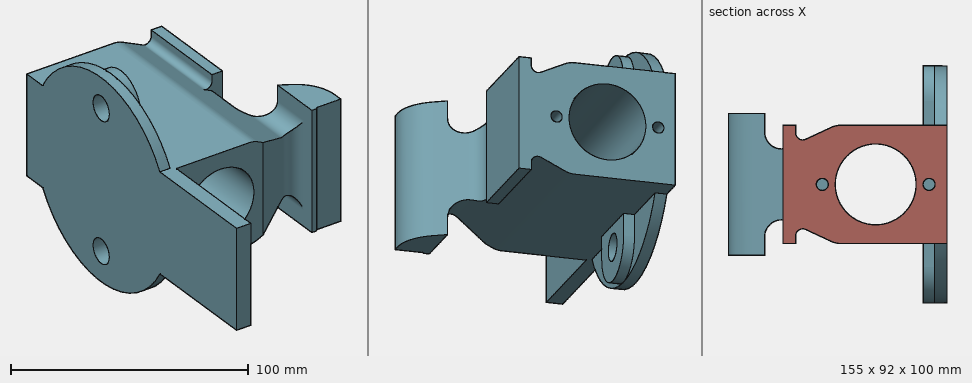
import cadquery as cq
import math

body_length = 100.0
half_height = 25.0
shoulder_y = 46.8
shoulder_radius = 10.0
taper_angle = math.radians(25)
body_depth = 63.7

bore_diameter = 34.0
bore_y = 30.0
screw_diameter = 5.0
screw_offset = 22.5
screw_depth = 10.0

rail_length = 45.0
rail_depth = 69.1
rail_groove_radius = 3.0

hook_half_height = 29.9
hook_top = 92.0
hook_under = 76.7
hook_angle = math.radians(60)
hook_root_x = 67.0
hook_root_radius = 9.9
hook_nose_radius = 20.0
neck_radius = 7.0
notch_radius = 5.0
tail_y = 51.8
lip_step = 0.8
lip_y = 79.0

plate_length = 155.0
plate_thickness = 7.3
disc_x = 55.0
disc_radius = body_length / 2
disc_thickness = 5.3
ear_radius = 15.0
ear_top = 10.0
ear_z = disc_radius - ear_radius
ear_hole_diameter = 12.0


def taper_z(y):
    """Half height of the tapered side at depth y."""
    return half_height - (y - shoulder_y) * math.tan(taper_angle)


def flanged_bar(length, under, top, flange_half_height, groove_radius):
    """Bar along X with tapered sides that end in a flange, with a rounded groove below it."""
    upper = [
        (0, half_height),
        (shoulder_y, half_height),
        (under, taper_z(under)),
        (under, flange_half_height),
        (top, flange_half_height),
    ]
    lower = [(y, -z) for y, z in reversed(upper)]
    bar = cq.Workplane("YZ").polyline(upper + lower).close().extrude(length)

    def edges_at(y, z):
        margin = 0.02
        return cq.selectors.BoxSelector(
            (-margin, y - margin, z - margin),
            (length + margin, y + margin, z + margin),
        )

    for side in (1, -1):
        bar = bar.edges(edges_at(shoulder_y, side * half_height)).fillet(shoulder_radius)
        bar = bar.edges(edges_at(under, side * taper_z(under))).fillet(groove_radius)
    return bar


def hook_outline():
    """Solid whose XY outline trims the long bar into the body, neck and hook."""
    nose_x = hook_root_x + (hook_top - body_depth) / math.tan(hook_angle)
    notch_x = body_length - (hook_under - tail_y) / math.tan(hook_angle)
    points = [
        (0, 0),
        (body_length, 0),
        (body_length, tail_y),
        (notch_x, hook_under),
        (body_length, hook_under),
        (body_length, lip_y),
        (body_length - lip_step, lip_y + lip_step),
        (body_length - lip_step, hook_top),
        (nose_x, hook_top),
        (hook_root_x, body_depth),
        (0, body_depth),
    ]
    outline = cq.Workplane("XY").polyline(points).close().extrude(hook_half_height, both=True)
    rounds = [
        (notch_x, hook_under, notch_radius),
        (nose_x, hook_top, hook_nose_radius),
        (hook_root_x, body_depth, hook_root_radius),
    ]
    for x, y, radius in rounds:
        outline = outline.edges(cq.selectors.NearestToPointSelector((x, y, 0))).fillet(radius)
    return outline


def extrude_from_face(sketch, depth):
    """Extrude a sketch drawn on the XZ plane toward +Y."""
    return sketch.extrude(-depth)


def mounting_base():
    """Plate, disc and the two rounded ears joined in one slot shape."""
    plate = cq.Workplane("XY").box(
        plate_length, plate_thickness, 2 * half_height, centered=(False, False, True)
    )
    disc = extrude_from_face(cq.Workplane("XZ").center(disc_x, 0).circle(disc_radius), disc_thickness)
    ears = extrude_from_face(
        cq.Workplane("XZ").center(disc_x, 0).slot2D(2 * disc_radius, 2 * ear_radius, 90), ear_top
    )
    ear_holes = extrude_from_face(
        cq.Workplane("XZ").pushPoints([(disc_x, ear_z), (disc_x, -ear_z)]).circle(ear_hole_diameter / 2),
        ear_top,
    )
    return plate.union(disc).union(ears).cut(ear_holes)


def bore_and_screw_holes():
    bore = cq.Workplane("YZ").center(bore_y, 0).circle(bore_diameter / 2).extrude(body_length)
    screws = (
        cq.Workplane("YZ")
        .pushPoints([(bore_y - screw_offset, 0), (bore_y + screw_offset, 0)])
        .circle(screw_diameter / 2)
        .extrude(screw_depth)
    )
    return bore.union(screws)


hook_body = flanged_bar(body_length, hook_under, hook_top, hook_half_height, neck_radius)
hook_body = hook_body.intersect(hook_outline())
rail = flanged_bar(rail_length, body_depth, rail_depth, half_height, rail_groove_radius)

result = hook_body.union(rail).union(mounting_base()).cut(bore_and_screw_holes())